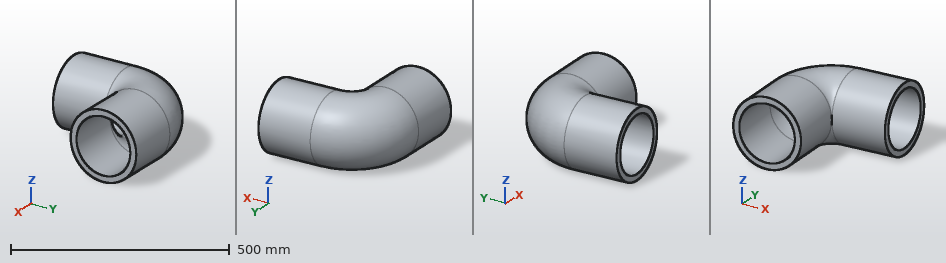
import cadquery as cq

overall_length = 320.0
outer_diameter = 180.0
wall = 16.3

outer_radius = outer_diameter / 2
bore_radius = outer_radius - wall
bend_radius = outer_radius
straight_length = overall_length - outer_diameter
bend_angle = 90


def elbow(radius):
    """Solid round elbow, with the bend centred on the Z axis."""
    front_leg = cq.Workplane("XZ").center(-bend_radius, 0).circle(radius).extrude(straight_length)
    side_leg = cq.Workplane("YZ").center(bend_radius, 0).circle(radius).extrude(straight_length)
    bend = (
        cq.Workplane("XZ")
        .center(-bend_radius, 0)
        .circle(radius)
        .revolve(bend_angle, (bend_radius, 0, 0), (bend_radius, -1, 0))
    )
    return bend.union(front_leg).union(side_leg)


result = elbow(outer_radius).cut(elbow(bore_radius))